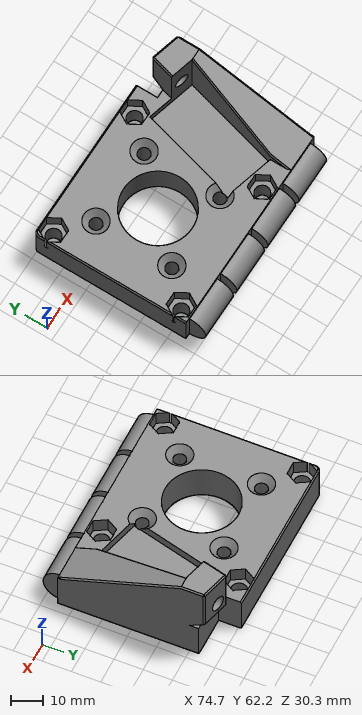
import cadquery as cq
import math

plate_width = 74.7
plate_depth = 56.25
plate_height = 13.0
corner_radius = 2.0
edge_chamfer = 0.5
notch_x = 59.7
notch_y = 48.3

barrel_radius = 6.0
barrel_axis_z = 6.05
barrel_length = 16.05
barrel_pitch = 18.1
barrel_count = 4

mount_center = plate_depth / 2
bore_diameter = 25.2
screw_spacing = 28.0
screw_diameter = 4.3
countersink_diameter = 8.8
nut_spacing = 47.1
nut_bolt_diameter = 5.3
nut_across_flats = 8.15
nut_depth = 5.0

bracket_angle = 15.0
total_height = 30.25
inner_corner = (70.15, 42.2)
pocket_length = 36.0
pocket_width = 17.85
pocket_depth = 3.0
lug_width = 8.7
lug_length = 9.05
lug_overhang_start = 4.1
lug_overhang_rise = 2.9
bracket_root = 2.25
lug_bore_diameter = 5.3
lug_bore_z = 20.2

sin_a = math.sin(math.radians(bracket_angle))
cos_a = math.cos(math.radians(bracket_angle))


def bracket_point(along_lug, along_wall):
    """Plan position of a point given along the lug and the wall from their inner corner."""
    x = inner_corner[0] + along_lug * cos_a + along_wall * sin_a
    y = inner_corner[1] - along_lug * sin_a + along_wall * cos_a
    return x, y


def square_points(spacing):
    """Four corners of a square around the motor centre."""
    offsets = (-spacing / 2, spacing / 2)
    return [(mount_center + dx, mount_center + dy) for dx in offsets for dy in offsets]


def make_plate():
    """Plate with one rounded corner and an open notch at the back."""
    plate = (
        cq.Workplane("XY")
        .moveTo(0, 0)
        .lineTo(plate_width, 0)
        .lineTo(plate_width, notch_y)
        .lineTo(notch_x, notch_y)
        .lineTo(notch_x, plate_depth)
        .lineTo(0, plate_depth)
        .close()
        .extrude(plate_height)
        .edges("|Z and <X and >Y")
        .fillet(corner_radius)
    )
    plate = plate.faces("<X").edges("|Y").chamfer(edge_chamfer)
    plate = plate.faces("<Y").edges("<Z").chamfer(edge_chamfer)
    return plate.faces(">X").edges("|Y and <Z").chamfer(edge_chamfer)


def make_barrels():
    """Row of hinge barrels centred on the width of the plate."""
    span = (barrel_count - 1) * barrel_pitch + barrel_length
    first_x = (plate_width - span) / 2
    barrels = cq.Workplane("XY")
    for i in range(barrel_count):
        barrel = (
            cq.Workplane("YZ", origin=(first_x + i * barrel_pitch, 0, barrel_axis_z))
            .circle(barrel_radius)
            .extrude(barrel_length)
        )
        barrels = barrels.add(barrel)
    return barrels.combine()


def edges_along(solid, path):
    """Edges of the solid whose middles lie halfway between neighbouring points of the path."""
    found = []
    for start, end in zip(path, path[1:]):
        middle = (cq.Vector(*start) + cq.Vector(*end)) / 2
        found.append(solid.edges(cq.selectors.NearestToPointSelector(middle.toTuple())).val())
    return found


def make_bracket():
    """Upright lug with a gusset wall that slopes down to the front edge of the plate."""
    bend = bracket_point(0, -pocket_length)
    lug_front = bracket_point(-lug_width, 0)
    lug_back = bracket_point(-lug_width, lug_length)
    lug_right = (plate_width, lug_back[1] - (plate_width - lug_back[0]) * sin_a / cos_a)
    outline = [(bend[0], 0), bend, inner_corner, lug_front, lug_back, lug_right, (plate_width, 0)]
    bracket = (
        cq.Workplane("XY", origin=(0, 0, plate_height - bracket_root))
        .polyline(outline)
        .close()
        .extrude(total_height - plate_height + bracket_root)
    )
    slope_end_y = inner_corner[1]
    above_slope = (
        cq.Workplane("YZ")
        .polyline([(0, plate_height), (slope_end_y, total_height), (0, total_height)])
        .close()
        .extrude(plate_width)
    )
    overhang_slope = lug_overhang_rise / (lug_length - lug_overhang_start)
    root_start = lug_overhang_start - bracket_root / overhang_slope
    root_z = plate_height - bracket_root
    overhang_z = plate_height + lug_overhang_rise
    below_overhang = (
        cq.Workplane(cq.Plane(origin=(*lug_front, 0), xDir=(sin_a, cos_a, 0), normal=(cos_a, -sin_a, 0)))
        .polyline([(root_start, root_z), (lug_length, overhang_z), (lug_length, root_z)])
        .close()
        .extrude(plate_width)
    )
    bracket = bracket.cut(above_slope).cut(below_overhang)

    bend_z = plate_height + (total_height - plate_height) * bend[1] / slope_end_y
    wall_rim = [(bend[0], 0, plate_height), (*bend, bend_z), (*inner_corner, total_height)]
    outer_rim = [
        (*lug_front, total_height),
        (*lug_back, total_height),
        (*lug_right, total_height),
        (plate_width, slope_end_y, total_height),
        (plate_width, 0, plate_height),
    ]
    back_corners = [[(*p, overhang_z), (*p, total_height)] for p in (lug_back, lug_right)]
    sharp_edges = []
    for path in (wall_rim, outer_rim, *back_corners):
        sharp_edges += edges_along(bracket, path)
    return bracket.newObject(sharp_edges).chamfer(edge_chamfer)


def make_cone(x, y, z, wide_diameter, narrow_diameter, direction):
    """45 degree cone whose wide end sits at the given point and narrows along the direction."""
    depth = (wide_diameter - narrow_diameter) / 2
    base = cq.Vector(x, y, z)
    cone = cq.Solid.makeCone(wide_diameter / 2, narrow_diameter / 2, depth, base, cq.Vector(0, 0, direction))
    return cq.Workplane(cone)


def cut_mount(body):
    """Motor bore, countersunk screw holes and hex nut pockets with bolt holes."""
    top = cq.Workplane("XY", origin=(0, 0, plate_height))
    bore = top.center(mount_center, mount_center).circle(bore_diameter / 2).extrude(-plate_height)
    screws = top.pushPoints(square_points(screw_spacing)).circle(screw_diameter / 2).extrude(-plate_height)
    bolts = top.pushPoints(square_points(nut_spacing)).circle(nut_bolt_diameter / 2).extrude(-plate_height)
    nut_across_corners = nut_across_flats / math.cos(math.pi / 6)
    nuts = top.pushPoints(square_points(nut_spacing)).polygon(6, nut_across_corners).extrude(-nut_depth)
    for cutter in (bore, screws, bolts, nuts):
        body = body.cut(cutter)

    for x, y in square_points(screw_spacing):
        body = body.cut(make_cone(x, y, plate_height, countersink_diameter, screw_diameter, -1))

    bore_rim = bore_diameter + 2 * edge_chamfer
    return body.cut(make_cone(mount_center, mount_center, 0, bore_rim, bore_diameter, 1))


def cut_pocket(body):
    """Shallow angled pocket along the foot of the wall and the lug."""
    corners = [
        bracket_point(0, 0),
        bracket_point(-pocket_width, 0),
        bracket_point(-pocket_width, -pocket_length),
        bracket_point(0, -pocket_length),
    ]
    pocket = cq.Workplane("XY", origin=(0, 0, plate_height)).polyline(corners).close().extrude(-pocket_depth)
    return body.cut(pocket)


def cut_lug_bore(body):
    """Cross bore through the lug, square to its pocket face."""
    start = bracket_point(-lug_width / 2, 0)
    bore = (
        cq.Workplane(cq.Plane(origin=(*start, lug_bore_z), xDir=(cos_a, -sin_a, 0), normal=(sin_a, cos_a, 0)))
        .circle(lug_bore_diameter / 2)
        .extrude(lug_length)
    )
    return body.cut(bore)


body = make_plate().union(make_barrels()).union(make_bracket())
body = cut_mount(body)
body = cut_pocket(body)
result = cut_lug_bore(body)